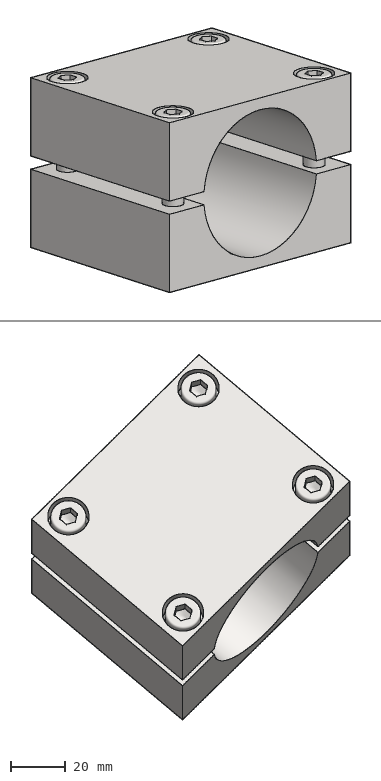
import cadquery as cq
import math

length_x = 75.0
width_y = 90.0
height_z = 65.0
gap = 5.0
bore_diameter = 56.0

screw_spacing_x = 57.0
screw_spacing_y = 70.0
shank_diameter = 8.0
head_diameter = 13.0
head_height = 8.0
head_edge_radius = 0.8
recess_diameter = 15.0
recess_depth = head_height

socket_across_flats = 5.9
socket_depth = 4.0
socket_cone_height = 1.7

top_z = height_z / 2
recess_floor_z = top_z - recess_depth
head_top_z = recess_floor_z + head_height
socket_corner_diameter = socket_across_flats / math.cos(math.pi / 6)


def clamp_halves():
    block = cq.Workplane("XY").box(length_x, width_y, height_z)
    split = cq.Workplane("XY").box(length_x, width_y, gap)
    bore = cq.Workplane("YZ").circle(bore_diameter / 2).extrude(length_x / 2, both=True)
    return block.cut(split).cut(bore)


def hex_socket():
    """Hexagonal pocket ending in a cone that spans the hexagon."""
    cone_base_z = head_top_z - socket_depth
    cone_tip_z = cone_base_z - socket_cone_height
    hexagon = (
        cq.Workplane("XY")
        .workplane(offset=cone_tip_z)
        .polygon(6, socket_corner_diameter)
        .extrude(head_top_z - cone_tip_z)
    )
    corner_radius = socket_corner_diameter / 2
    pointed_cylinder = (
        cq.Workplane("XZ")
        .moveTo(0, cone_tip_z)
        .lineTo(corner_radius, cone_base_z)
        .lineTo(corner_radius, head_top_z)
        .lineTo(0, head_top_z)
        .close()
        .revolve(360, (0, 0, 0), (0, 1, 0))
    )
    return hexagon.intersect(pointed_cylinder)


def screw():
    """Head resting on the recess floor, shank reaching into the lower half."""
    head = (
        cq.Workplane("XY")
        .workplane(offset=recess_floor_z)
        .circle(head_diameter / 2)
        .extrude(head_height)
        .faces(">Z")
        .edges()
        .fillet(head_edge_radius)
        .cut(hex_socket())
    )
    shank = (
        cq.Workplane("XY")
        .workplane(offset=-recess_floor_z)
        .circle(shank_diameter / 2)
        .extrude(2 * recess_floor_z)
    )
    return head.union(shank)


def head_recess():
    return (
        cq.Workplane("XY")
        .workplane(offset=recess_floor_z)
        .circle(recess_diameter / 2)
        .extrude(recess_depth)
    )


result = clamp_halves()
for side_x in (-1, 1):
    for side_y in (-1, 1):
        screw_position = (side_x * screw_spacing_x / 2, side_y * screw_spacing_y / 2, 0)
        result = result.cut(head_recess().translate(screw_position))
        result = result.union(screw().translate(screw_position))